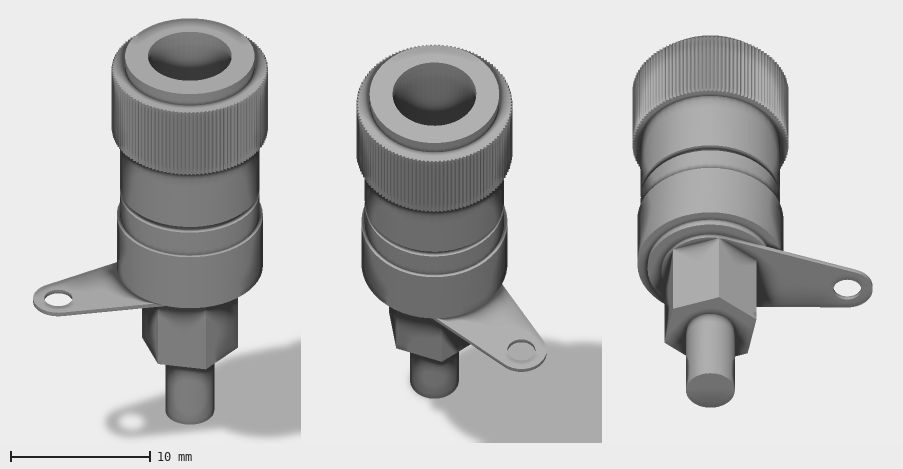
import cadquery as cq
import math

PIN_TOP = 6.0
NUT_TOP = 12.0
TAG_TOP = 12.3
WASHER_TOP = 12.8
BASE_TOP = 17.3
BAND_TOP = 19.3
GROOVE_TOP = 19.8
SLEEVE_TOP = 24.82
KNURL_TOP = 30.3
LIP_TOP = 31.3

PIN_DIAMETER = 3.5
WASHER_DIAMETER = 9.0
BASE_DIAMETER = 10.5
SLEEVE_DIAMETER = 10.02
LIP_DIAMETER = 9.3

KNURL_DIAMETER = 11.2
TOOTH_DEPTH = 0.15
TOOTH_COUNT = 120

NUT_CORNER_DIAMETER = 7.0

TAG_HUB_RADIUS = NUT_CORNER_DIAMETER / 2
TAG_REACH = 11.8
TAG_TIP_RADIUS = 1.8
TAG_HOLE_DIAMETER = 2.0
TAG_HOLE_DISTANCE = TAG_REACH - TAG_TIP_RADIUS

SOCKET_DIAMETER = 6.0
SOCKET_FLOOR = GROOVE_TOP
PIN_STUB_HEIGHT = 1.0


def cylinder(diameter, bottom, top):
    """Solid cylinder on the Z axis between two heights."""
    return cq.Workplane("XY").workplane(offset=bottom).circle(diameter / 2).extrude(top - bottom)


def make_turned_body():
    """Stack of plain round sections, from the pin up to the lip."""
    sections = [
        (PIN_DIAMETER, 0, PIN_TOP),
        (WASHER_DIAMETER, TAG_TOP, WASHER_TOP),
        (BASE_DIAMETER, WASHER_TOP, BASE_TOP),
        (SLEEVE_DIAMETER, BASE_TOP, BAND_TOP),
        (LIP_DIAMETER, BAND_TOP, GROOVE_TOP),
        (SLEEVE_DIAMETER, GROOVE_TOP, SLEEVE_TOP),
        (LIP_DIAMETER, KNURL_TOP, LIP_TOP),
    ]
    body = cq.Workplane("XY")
    for diameter, bottom, top in sections:
        body = body.add(cylinder(diameter, bottom, top))
    return body.combine()


def make_knurl():
    """Grip ring with straight V-shaped teeth, one tip on the X axis."""
    tip_radius = KNURL_DIAMETER / 2
    root_radius = tip_radius - TOOTH_DEPTH
    half_pitch = math.pi / TOOTH_COUNT
    outline = []
    for step in range(2 * TOOTH_COUNT):
        radius = tip_radius if step % 2 == 0 else root_radius
        angle = step * half_pitch
        outline.append((radius * math.cos(angle), radius * math.sin(angle)))
    plane = cq.Workplane("XY").workplane(offset=SLEEVE_TOP)
    return plane.polyline(outline).close().extrude(KNURL_TOP - SLEEVE_TOP)


def make_nut():
    plane = cq.Workplane("XY").workplane(offset=PIN_TOP)
    return plane.polygon(6, NUT_CORNER_DIAMETER).extrude(NUT_TOP - PIN_TOP)


def make_tag():
    """Flat tag: a hub arc and a tip arc joined by their two common tangents."""
    taper_sine = (TAG_HUB_RADIUS - TAG_TIP_RADIUS) / TAG_HOLE_DISTANCE
    taper_cosine = math.sqrt(1 - taper_sine**2)
    hub_x = TAG_HUB_RADIUS * taper_cosine
    hub_y = -TAG_HUB_RADIUS * taper_sine
    tip_x = TAG_TIP_RADIUS * taper_cosine
    tip_y = -TAG_HOLE_DISTANCE - TAG_TIP_RADIUS * taper_sine
    return (
        cq.Workplane("XY")
        .workplane(offset=NUT_TOP)
        .moveTo(hub_x, hub_y)
        .threePointArc((0, TAG_HUB_RADIUS), (-hub_x, hub_y))
        .lineTo(-tip_x, tip_y)
        .threePointArc((0, -TAG_REACH), (tip_x, tip_y))
        .close()
        .moveTo(0, -TAG_HOLE_DISTANCE)
        .circle(TAG_HOLE_DIAMETER / 2)
        .extrude(TAG_TOP - NUT_TOP)
    )


socket = cylinder(SOCKET_DIAMETER, SOCKET_FLOOR, LIP_TOP)
pin_stub = cylinder(PIN_DIAMETER, SOCKET_FLOOR, SOCKET_FLOOR + PIN_STUB_HEIGHT)

result = (
    make_nut()
    .union(make_tag())
    .union(make_turned_body())
    .union(make_knurl())
    .cut(socket)
    .union(pin_stub)
)